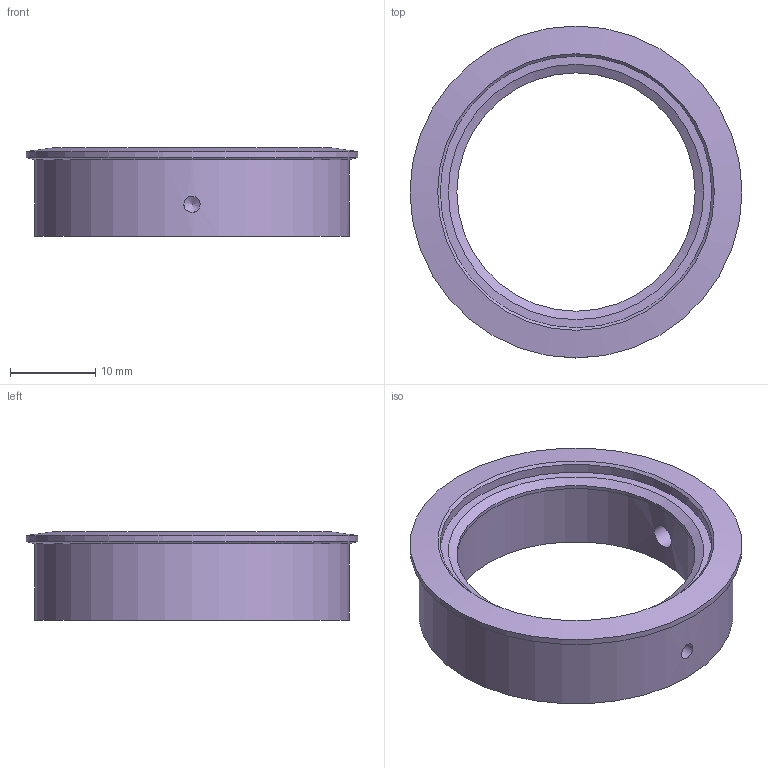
import cadquery as cq
import math

FLANGE_RADIUS = 19.5
BODY_RADIUS = 18.5
HEIGHT = 10.4

UNDERSIDE_Z = 9.0
RIM_BOTTOM_Z = 9.25
RIM_TOP_Z = 9.95

MOUTH_RADIUS = 16.25
RECESS_RADIUS = 15.95
MOUTH_CHAMFER = MOUTH_RADIUS - RECESS_RADIUS
SEAT_Z = 9.0

FUNNEL_RADIUS = 15.0
LIP_RADIUS = 14.0
FUNNEL_ANGLE = 30.0
FUNNEL_DEPTH = (FUNNEL_RADIUS - LIP_RADIUS) * math.tan(math.radians(FUNNEL_ANGLE))
LIP_BOTTOM_Z = 8.0
BORE_RADIUS = 14.5

HOLE_Z = 3.75
BLIND_HOLE_DIAMETER = 1.9
BLIND_HOLE_DEPTH = 2.5
DRILL_POINT_ANGLE = 118.0
THROUGH_HOLE_DIAMETER = 2.8


def ring():
    """Revolve the wall section (radius, height) about Z."""
    section = [
        (BORE_RADIUS, 0),
        (BODY_RADIUS, 0),
        (BODY_RADIUS, UNDERSIDE_Z),
        (FLANGE_RADIUS, RIM_BOTTOM_Z),
        (FLANGE_RADIUS, RIM_TOP_Z),
        (MOUTH_RADIUS, HEIGHT),
        (RECESS_RADIUS, HEIGHT - MOUTH_CHAMFER),
        (RECESS_RADIUS, SEAT_Z),
        (FUNNEL_RADIUS, SEAT_Z),
        (LIP_RADIUS, SEAT_Z - FUNNEL_DEPTH),
        (LIP_RADIUS, LIP_BOTTOM_Z),
        (BORE_RADIUS, LIP_BOTTOM_Z),
    ]
    return cq.Workplane("XZ").polyline(section).close().revolve(360, (0, 0), (0, 1))


def blind_hole():
    """Drilled hole entering the outer wall on the -Y side, ending in a drill point."""
    radius = BLIND_HOLE_DIAMETER / 2
    point_length = radius / math.tan(math.radians(DRILL_POINT_ANGLE / 2))
    cylinder_end = BLIND_HOLE_DEPTH - BODY_RADIUS
    half_section = [
        (0, -FLANGE_RADIUS),
        (radius, -FLANGE_RADIUS),
        (radius, cylinder_end),
        (0, cylinder_end + point_length),
    ]
    cutter = cq.Workplane("XY").polyline(half_section).close().revolve(360, (0, 0), (0, 1))
    return cutter.translate((0, 0, HOLE_Z))


def through_hole():
    """Plain hole through the wall on the +X side."""
    outline = cq.Workplane("YZ").center(0, HOLE_Z).circle(THROUGH_HOLE_DIAMETER / 2)
    return outline.extrude(FLANGE_RADIUS)


result = ring().cut(blind_hole()).cut(through_hole())